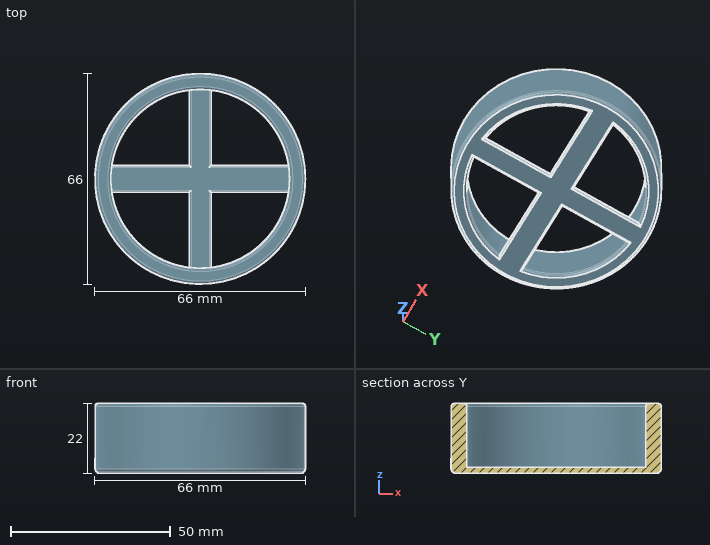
import cadquery as cq
outer_diameter = 66.0
inner_diameter = 56.0
height = 22.0
rim_fillet = 1.0
ring_chamfer = 1.0
ring_blend = 1.0

bar_thickness = 2.0
x_bar_width = 8.5
y_bar_width = 7.0
bar_top_fillet = 0.7
bar_chamfer = 0.5
bar_blend = 0.7


def level_band(z):
    """Selector for edges lying at height z."""
    reach = outer_diameter
    tolerance = 0.01
    return cq.selectors.BoxSelector((-reach, -reach, z - tolerance), (reach, reach, z + tolerance))


def ease_bottom(body, edge_filter, chamfer, blend):
    """Chamfer the matching bottom edges, then round the edges between chamfer and wall."""
    body = body.faces("<Z").edges(edge_filter).chamfer(chamfer)
    return body.edges(edge_filter).edges(level_band(chamfer)).fillet(blend)


def make_ring():
    """Tube with rounded top rims and eased bottom edges."""
    ring = cq.Workplane("XY").circle(outer_diameter / 2).circle(inner_diameter / 2).extrude(height)
    ring = ring.faces(">Z").edges().fillet(rim_fillet)
    return ease_bottom(ring, "%CIRCLE", ring_chamfer, ring_blend)


def make_bar(length_x, length_y, long_edges):
    """Flat bar centred on the ring axis, with its long edges eased."""
    bar = cq.Workplane("XY").rect(length_x, length_y).extrude(bar_thickness)
    bar = ease_bottom(bar, long_edges, bar_chamfer, bar_blend)
    return bar.faces(">Z").edges(long_edges).fillet(bar_top_fillet)


def make_cross():
    """Two crossing bars whose ends are trimmed at the middle of the ring wall."""
    trim_diameter = (outer_diameter + inner_diameter) / 2
    trim = cq.Workplane("XY").circle(trim_diameter / 2).extrude(bar_thickness)
    x_bar = make_bar(outer_diameter, x_bar_width, "|X")
    y_bar = make_bar(y_bar_width, outer_diameter, "|Y")
    return x_bar.union(y_bar).intersect(trim)


result = make_ring().union(make_cross())